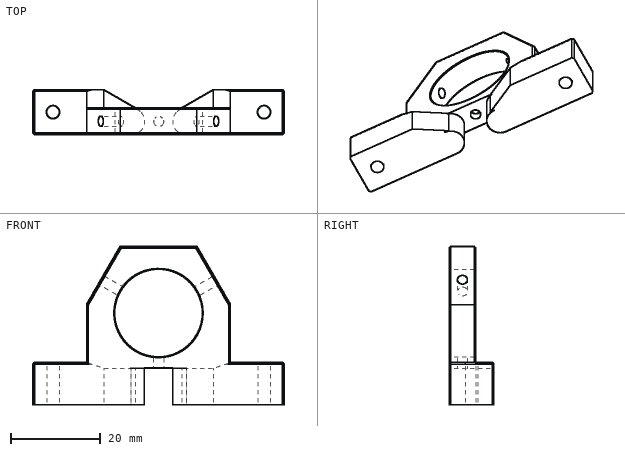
import cadquery as cq
import math

base_length = 55.9
base_depth = 10.0
base_height = 9.45
edge_chamfer = 0.4

plate_width = 32.0
plate_depth = 6.0
plate_height = 35.2
shoulder_height = 22.3
shoulder_angle = 60
bore_diameter = 19.5
bore_height = 20.4
bore_chamfer = 0.15

relief_floor_height = 8.15
relief_ramp_end = 12.2
relief_wall_angle = 30

slot_width = 6.25
slot_height = 8.15
tab_radius = plate_depth / 2

mount_hole_diameter = 2.85
mount_hole_spacing = 46.95
screw_hole_diameter = 2.25

half_plate = plate_width / 2
cut_margin = 0.55


def mirrored_profile(right_side):
    """Closed XZ outline from its right half, listed bottom to top."""
    left_side = [(-x, z) for x, z in reversed(right_side)]
    return cq.Workplane("XZ").polyline(right_side + left_side).close()


def make_base():
    block = cq.Workplane("XY").box(base_length, base_depth, base_height, centered=(True, False, False))
    return block.edges("|Z or >Z").chamfer(edge_chamfer)


def make_plate():
    shoulder_run = (plate_height - shoulder_height) / math.tan(math.radians(shoulder_angle))
    outline = [
        (half_plate, 0),
        (half_plate, shoulder_height),
        (half_plate - shoulder_run, plate_height),
    ]
    plate = mirrored_profile(outline).extrude(-plate_depth)
    return plate.faces("<Y or >Y").edges("not <Z").chamfer(edge_chamfer)


def fill_base_front():
    """Square off the chamfered edge of the base where it passes under the plate."""
    width = plate_width - 2 * edge_chamfer
    return cq.Workplane("XY").box(width, plate_depth, base_height, centered=(True, False, False))


def relief_cutters():
    """Ramped recess in the base top and the slanted recess in its back."""
    ramp_outline = [
        (relief_ramp_end, relief_floor_height),
        (half_plate, base_height),
        (half_plate, base_height + cut_margin),
    ]
    ramp = mirrored_profile(ramp_outline).extrude(-(base_depth - plate_depth))
    ramp = ramp.translate((0, plate_depth, 0))

    wall_run = (base_depth - plate_depth) / math.tan(math.radians(relief_wall_angle))
    inner_end = relief_ramp_end - wall_run
    back = (
        cq.Workplane("XY")
        .polyline([
            (-inner_end, plate_depth),
            (inner_end, plate_depth),
            (relief_ramp_end, base_depth),
            (-relief_ramp_end, base_depth),
        ])
        .close()
        .extrude(base_height)
    )
    return ramp.union(back)


def slot_cutter():
    """Slot through Y whose sides are the round ends of the two tabs."""
    half_slot = slot_width / 2
    mouth = half_slot + tab_radius
    return (
        cq.Workplane("XY")
        .moveTo(-mouth, 0)
        .lineTo(mouth, 0)
        .threePointArc((half_slot, tab_radius), (mouth, plate_depth))
        .lineTo(-mouth, plate_depth)
        .threePointArc((-half_slot, tab_radius), (-mouth, 0))
        .close()
        .extrude(slot_height)
    )


def bore_cutter():
    bore = cq.Workplane("XZ").center(0, bore_height).circle(bore_diameter / 2).extrude(-plate_depth)
    rim_radius = bore_diameter / 2 + bore_chamfer
    rim = cq.Workplane("XZ").center(0, bore_height).circle(rim_radius).extrude(-bore_chamfer, taper=45)
    back_rim = rim.mirror("XZ").translate((0, plate_depth, 0))
    return bore.union(rim).union(back_rim)


def screw_hole_cutters():
    """Three radial holes from the bore: through both shoulders and down to the slot."""
    center = cq.Vector(0, plate_depth / 2, bore_height)
    shoulder_normal = 90 - shoulder_angle
    holes = cq.Workplane("XY")
    for angle in (shoulder_normal, 180 - shoulder_normal, 270):
        direction = cq.Vector(math.cos(math.radians(angle)), 0, math.sin(math.radians(angle)))
        holes = holes.add(cq.Solid.makeCylinder(screw_hole_diameter / 2, bore_height, center, direction))
    return holes.combine()


def mount_hole_cutters():
    return (
        cq.Workplane("XY")
        .center(0, base_depth / 2)
        .rarray(mount_hole_spacing, 0.55, 2, 1)
        .circle(mount_hole_diameter / 2)
        .extrude(base_height)
    )


result = make_base().cut(relief_cutters()).union(fill_base_front()).union(make_plate())
result = result.cut(slot_cutter()).cut(bore_cutter()).cut(screw_hole_cutters()).cut(mount_hole_cutters())